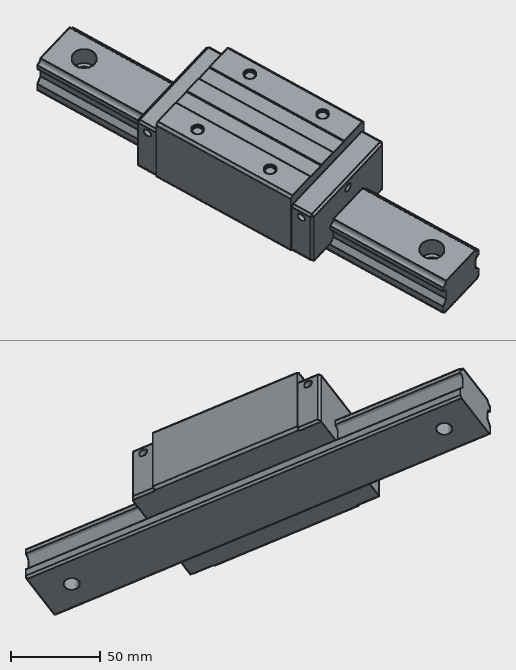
import cadquery as cq
rail_length = 280.0
rail_width = 34.2
rail_height = 26.0
rail_waist_width = 28.0
upper_groove_bottom = 23.0
lower_groove_top = 19.5
lower_groove_bottom = 16.5
ball_groove_radius = 3.5
waist_bottom = 10.5
foot_top = 6.7
foot_chamfer = 1.5

rail_hole_spacing = 240.0
rail_hole_diameter = 9.0
rail_counterbore_diameter = 14.0
rail_counterbore_depth = 12.0

carriage_center_x = 1.5
carriage_bottom = 7.5
body_length = 93.0
body_width = 70.0
body_top = 55.0
edge_chamfer = 1.7

channel_inner_edge = 5.5
channel_outer_edge = 16.2
channel_depth = 0.42

bolt_spacing = 50.0
bolt_hole_diameter = 6.2
bolt_mouth_diameter = 7.3
bolt_hole_depth = 2.0

caps_length = 121.5
cap_width = 68.3
cap_top = 47.0
cap_chamfer = 1.5

side_grease_hole_diameter = 5.0
end_grease_hole_diameter = 5.3
grease_hole_depth = 5.0
side_grease_hole_spacing = 106.0
side_grease_hole_height = 41.2
end_grease_hole_height = 39.8


def ball_groove_middle(start, end):
    """Deepest point of a concave groove arc on the +Y flank, between two profile points."""
    chord_y = end[0] - start[0]
    chord_z = end[1] - start[1]
    chord = (chord_y**2 + chord_z**2) ** 0.5
    depth = ball_groove_radius - (ball_groove_radius**2 - chord**2 / 4) ** 0.5
    middle_y = (start[0] + end[0]) / 2
    middle_z = (start[1] + end[1]) / 2
    return (middle_y + depth * chord_z / chord, middle_z - depth * chord_y / chord)


def rail():
    """Rail with two ball grooves and a waist on each flank, extruded along X."""
    half_width = rail_width / 2
    half_waist = rail_waist_width / 2
    top_edge = (half_waist, rail_height)
    rib_top = (half_width, upper_groove_bottom)
    rib_bottom = (half_width, lower_groove_top)
    waist_top = (half_waist, lower_groove_bottom)
    half_profile = (
        cq.Workplane("YZ", origin=(-rail_length / 2, 0, 0))
        .lineTo(half_width - foot_chamfer, 0)
        .lineTo(half_width, foot_chamfer)
        .lineTo(half_width, foot_top)
        .lineTo(half_waist, waist_bottom)
        .lineTo(*waist_top)
        .threePointArc(ball_groove_middle(rib_bottom, waist_top), rib_bottom)
        .lineTo(*rib_top)
        .threePointArc(ball_groove_middle(top_edge, rib_top), top_edge)
        .lineTo(0, rail_height)
        .close()
    )
    half_rail = half_profile.extrude(rail_length)
    return half_rail.union(half_rail.mirror("XZ"))


def rail_holes():
    """Counterbored holes through the rail near its ends."""
    positions = [(-rail_hole_spacing / 2, 0), (rail_hole_spacing / 2, 0)]
    bores = cq.Workplane("XY").pushPoints(positions).circle(rail_hole_diameter / 2).extrude(rail_height)
    counterbores = (
        cq.Workplane("XY", origin=(0, 0, rail_height))
        .pushPoints(positions)
        .circle(rail_counterbore_diameter / 2)
        .extrude(-rail_counterbore_depth)
    )
    return bores.union(counterbores)


def carriage_block(length, width, top):
    """Block centred on the carriage, resting on the carriage's underside plane."""
    height = top - carriage_bottom
    return cq.Workplane("XY", origin=(carriage_center_x, 0, carriage_bottom)).box(
        length, width, height, centered=(True, True, False)
    )


def body():
    """Carriage body with chamfered long edges and two shallow sloping-sided channels in its top."""
    block = carriage_block(body_length, body_width, body_top).edges("|X").chamfer(edge_chamfer)
    floor = body_top - channel_depth
    channel = (
        cq.Workplane("YZ", origin=(carriage_center_x - body_length / 2, 0, 0))
        .moveTo(channel_inner_edge, body_top)
        .lineTo(channel_inner_edge + channel_depth, floor)
        .lineTo(channel_outer_edge - channel_depth, floor)
        .lineTo(channel_outer_edge, body_top)
        .close()
        .extrude(body_length)
    )
    return block.cut(channel).cut(channel.mirror("XZ"))


def bolt_holes():
    """Square pattern of blind holes with countersunk mouths in the body's top."""
    mouth_chamfer = (bolt_mouth_diameter - bolt_hole_diameter) / 2
    profile = (
        cq.Workplane("XZ")
        .lineTo(0, -bolt_hole_depth)
        .lineTo(bolt_hole_diameter / 2, -bolt_hole_depth)
        .lineTo(bolt_hole_diameter / 2, -mouth_chamfer)
        .lineTo(bolt_mouth_diameter / 2, 0)
        .close()
    )
    hole = profile.revolve(360, (0, 0), (0, 1)).val()
    return (
        cq.Workplane("XY", origin=(carriage_center_x, 0, body_top))
        .rect(bolt_spacing, bolt_spacing, forConstruction=True)
        .vertices()
        .eachpoint(lambda place: hole.moved(place), combine="a")
    )


def end_caps():
    """One chamfered block running through the body, so that a cap shows at each end."""
    block = carriage_block(caps_length, cap_width, cap_top)
    return block.edges("not (|Y and <Z)").chamfer(cap_chamfer)


def grease_holes():
    """Blind holes in both flanks and in the outer face of each end cap."""
    holes = cq.Workplane("XY")
    for side in (-1, 1):
        flank = cq.Workplane("XZ", origin=(carriage_center_x, side * cap_width / 2, side_grease_hole_height))
        holes = holes.union(
            flank.pushPoints([(-side_grease_hole_spacing / 2, 0), (side_grease_hole_spacing / 2, 0)])
            .circle(side_grease_hole_diameter / 2)
            .extrude(side * grease_hole_depth)
        )
        end_x = carriage_center_x + side * caps_length / 2
        end = cq.Workplane("YZ", origin=(end_x, 0, end_grease_hole_height))
        holes = holes.union(end.circle(end_grease_hole_diameter / 2).extrude(-side * grease_hole_depth))
    return holes


carriage = body().union(end_caps()).cut(bolt_holes()).cut(grease_holes())
result = rail().cut(rail_holes()).union(carriage)